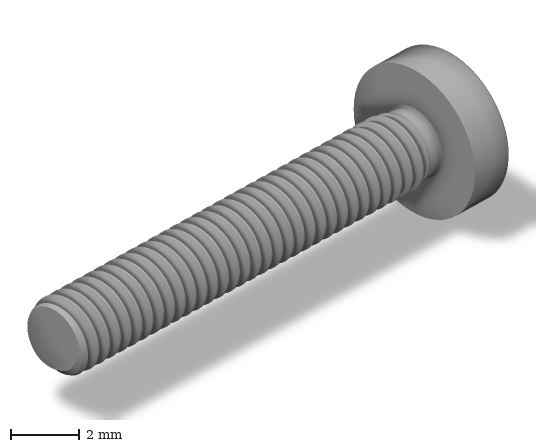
import cadquery as cq
import math

head_radius = 2.5
head_height = 2.09
rim_height = 1.44
crown_radius = 1.28
crown_bulge = 0.06
rim_bevel_width = 0.03
rim_bevel_height = 0.05

overall_length = 17.1
shank_length = overall_length - head_height
neck_radius = 1.11
neck_length = 0.46
neck_fillet = 0.09

pitches_in_overall_length = 38
pitch = overall_length / pitches_in_overall_length
thread_radius = 1.25
root_radius = 0.97
crest_width = pitch / 8
flank_slope = math.tan(math.radians(30))
lead_in_length = 0.4
tip_radius = 1.08
tip_chamfer_length = 0.3
outer_clearance = 0.02
groove_start_angle = -45.0
first_groove = (1.5 + groove_start_angle / 360) * pitch
turns_per_cut = 4


def make_blank():
    """Revolved screw without its thread; Z runs from the head seat to the tip."""
    dome_radius = head_radius - rim_bevel_width
    dome_width = dome_radius - crown_radius
    dome_height = head_height - rim_height
    dome_chord = math.hypot(dome_width, dome_height)
    dome_middle = (
        (crown_radius + dome_radius) / 2 + crown_bulge * dome_height / dome_chord,
        -(head_height + rim_height) / 2 - crown_bulge * dome_width / dome_chord,
    )
    fillet_inset = neck_fillet * (1 - math.sqrt(0.5))
    return (
        cq.Workplane("XZ")
        .moveTo(0, -head_height)
        .lineTo(crown_radius, -head_height)
        .threePointArc(dome_middle, (dome_radius, -rim_height))
        .lineTo(head_radius, -rim_height + rim_bevel_height)
        .lineTo(head_radius, 0)
        .lineTo(neck_radius + neck_fillet, 0)
        .threePointArc((neck_radius + fillet_inset, fillet_inset), (neck_radius, neck_fillet))
        .lineTo(neck_radius, neck_length)
        .lineTo(thread_radius, neck_length + lead_in_length)
        .lineTo(thread_radius, shank_length - tip_chamfer_length)
        .lineTo(tip_radius, shank_length)
        .lineTo(0, shank_length)
        .close()
        .revolve(360, (0, 0, 0), (0, 1, 0))
    )


def make_groove(start):
    """Helical cutter of a few turns; start is the height of its middle where it begins."""
    outer_radius = thread_radius + outer_clearance
    outer_half_width = (pitch - crest_width) / 2 + outer_clearance * flank_slope
    root_half_width = outer_half_width - (outer_radius - root_radius) * flank_slope
    helix_height = turns_per_cut * pitch
    helix = cq.Wire.makeHelix(pitch, helix_height, root_radius, center=cq.Vector(0, 0, start))
    profile = (
        cq.Workplane("XZ")
        .moveTo(root_radius, start - root_half_width)
        .lineTo(outer_radius, start - outer_half_width)
        .lineTo(outer_radius, start + outer_half_width)
        .lineTo(root_radius, start + root_half_width)
        .close()
    )
    return profile.sweep(cq.Workplane(obj=helix), isFrenet=True)


screw = make_blank()
cut_count = math.ceil((shank_length + pitch / 2 - first_groove) / (turns_per_cut * pitch))
for cut_index in range(cut_count):
    screw = screw.cut(make_groove(first_groove + cut_index * turns_per_cut * pitch))

screw = screw.rotate((0, 0, 0), (0, 0, 1), groove_start_angle)
result = screw.rotate((0, 0, 0), (1, 0, 0), 90)